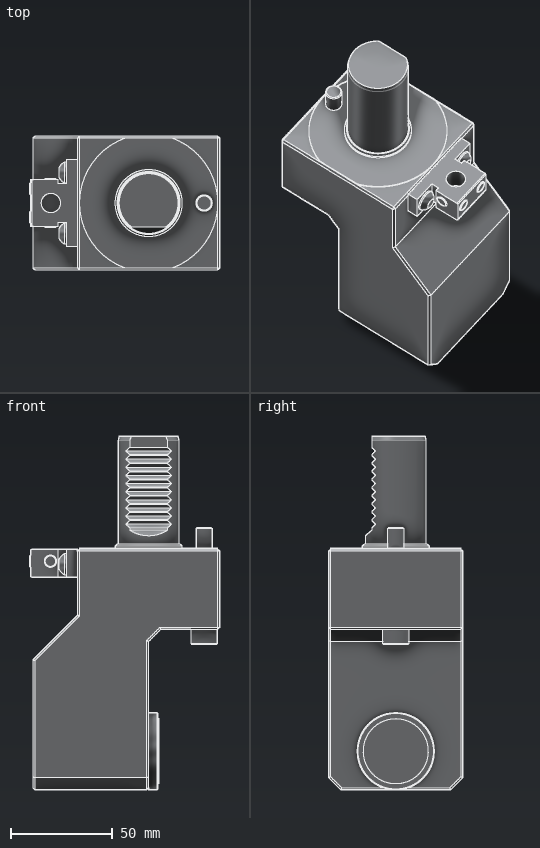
import cadquery as cq
import math


WIDTH = 66.0
HALF_WIDTH = WIDTH / 2
BODY_TOP = -0.5
BODY_BOTTOM = -119.0
HEAD_LEFT = -35.0
HEAD_RIGHT = 35.0
HEAD_BOTTOM = -40.0
LEG_LEFT = -57.0
LEG_RIGHT = 0.0
SLOPE_TOP = -33.0
SLOPE_BOTTOM = SLOPE_TOP - (HEAD_LEFT - LEG_LEFT)
INNER_BEVEL = 6.0
BOTTOM_BEVEL = 6.0
EDGE_CHAMFER = 1.0
TOLERANCE = 0.01

FLANGE_DIAMETER = 68.0
FLANGE_FLATS = WIDTH - 2 * EDGE_CHAMFER

SHANK_DIAMETER = 30.0
SHANK_LENGTH = 55.0
SHANK_TIP_LENGTH = 2.0
SHANK_TIP_INSET = 0.5
COLLAR_DIAMETER = 33.0
COLLAR_HEIGHT = 2.0
COLLAR_CHAMFER = 1.0
RACK_FLAT = 11.8
RACK_RUNOUT_TOP = 8.8
RACK_RUNOUT_BOTTOM = 6.0
TOOTH_COUNT = 10
TOOTH_PITCH = 4.0
TOOTH_DEPTH = 1.8
FIRST_GROOVE = 11.7

PIN_X = 27.3
PIN_DIAMETER = 8.0
PIN_HEIGHT = 10.0
PIN_CHAMFER = 0.5
CAP_DIAMETER = 13.0
CAP_HEIGHT = 7.5
CAP_CHAMFER = 0.4

COVER_DIAMETER = 38.0
COVER_LENGTH = 4.5
COVER_CHAMFER = 0.4
COVER_RIM_DIAMETER = 32.0
COVER_RIM_LENGTH = 0.5
COVER_Z = BODY_BOTTOM + COVER_DIAMETER / 2

BLOCK_HEIGHT = 14.0
BLOCK_LEFT = -58.0
BLOCK_WIDTH = 23.0
BLOCK_CHAMFER = 0.5
PLATE_THICKNESS = 5.5
PLATE_WIDTH = 43.0
PLATE_LEFT = HEAD_LEFT - PLATE_THICKNESS
NECK_LENGTH = 4.0
NECK_WIDTH = 19.0
PORT_X = -48.1
PORT_DIAMETER = 9.5
PORT_DEPTH = 12.0

BUTTON_DIAMETER = 10.5
BUTTON_RIM = 0.8
BUTTON_HEIGHT = 3.5
BUTTON_TIP_DIAMETER = 5.0
BUTTON_Y = 15.0
BUTTON_Z = -8.0
PLUG_DIAMETER = 6.0
PLUG_CHAMFER = 0.4
PLUG_Z = -6.5
FRONT_PLUG_Y = 7.0
FRONT_PLUG_HEIGHT = 0.5
SIDE_PLUG_X = -48.3
SIDE_PLUG_HEIGHT = 0.45


def box_between(x0, x1, y0, y1, z0, z1):
    return cq.Workplane("XY").box(x1 - x0, y1 - y0, z1 - z0, centered=False).translate((x0, y0, z0))


def cylinder(base, direction, diameter, length):
    return cq.Workplane(cq.Solid.makeCylinder(diameter / 2, length, cq.Vector(*base), cq.Vector(*direction)))


def needs_chamfer(edge):
    """Rims of the two side faces and of the outward X faces, apart from bevel and slope corners."""
    box = edge.BoundingBox()

    def lies_at(low, high, place):
        return abs(low - place) < TOLERANCE and abs(high - place) < TOLERANCE

    on_side = lies_at(box.ymin, box.ymax, HALF_WIDTH) or lies_at(box.ymin, box.ymax, -HALF_WIDTH)
    on_bevel = on_side and lies_at(box.zmin, box.zmax, BODY_BOTTOM + BOTTOM_BEVEL)
    on_end = any(lies_at(box.xmin, box.xmax, x) for x in (LEG_LEFT, LEG_RIGHT, HEAD_LEFT, HEAD_RIGHT))
    on_slope_or_inner_bevel = any(
        lies_at(box.zmin, box.zmax, z)
        for z in (SLOPE_TOP, SLOPE_BOTTOM, HEAD_BOTTOM - INNER_BEVEL)
    )
    if on_bevel or on_slope_or_inner_bevel:
        return False
    return on_side or on_end


def make_body():
    body = (
        cq.Workplane("XZ")
        .polyline([
            (HEAD_LEFT, BODY_TOP),
            (HEAD_RIGHT, BODY_TOP),
            (HEAD_RIGHT, HEAD_BOTTOM),
            (LEG_RIGHT + INNER_BEVEL, HEAD_BOTTOM),
            (LEG_RIGHT, HEAD_BOTTOM - INNER_BEVEL),
            (LEG_RIGHT, BODY_BOTTOM),
            (LEG_LEFT, BODY_BOTTOM),
            (LEG_LEFT, SLOPE_BOTTOM),
            (HEAD_LEFT, SLOPE_TOP),
        ])
        .close()
        .extrude(HALF_WIDTH, both=True)
        .edges("|X and <Z")
        .chamfer(BOTTOM_BEVEL)
    )
    rim = [edge for edge in body.edges().vals() if needs_chamfer(edge)]
    return body.newObject(rim).chamfer(EDGE_CHAMFER)


def make_flange():
    disc = cylinder((0, 0, BODY_TOP), (0, 0, 1), FLANGE_DIAMETER, -BODY_TOP)
    half_flats = FLANGE_FLATS / 2
    radius = FLANGE_DIAMETER / 2
    return disc.intersect(box_between(-radius, radius, -half_flats, half_flats, BODY_TOP, 0))


def make_rack_cut():
    """Flat with a sloped run-out, and V grooves across it, removed from the -Y side of the shank."""
    radius = SHANK_DIAMETER / 2
    cut = (
        cq.Workplane("YZ")
        .polyline([
            (-RACK_FLAT, SHANK_LENGTH),
            (-RACK_FLAT, RACK_RUNOUT_TOP),
            (-radius, RACK_RUNOUT_BOTTOM),
            (-radius, SHANK_LENGTH),
        ])
        .close()
        .extrude(radius, both=True)
    )
    for index in range(TOOTH_COUNT):
        z = FIRST_GROOVE + index * TOOTH_PITCH
        groove = (
            cq.Workplane("YZ")
            .polyline([
                (-RACK_FLAT, z - TOOTH_DEPTH),
                (-RACK_FLAT + TOOTH_DEPTH, z),
                (-RACK_FLAT, z + TOOTH_DEPTH),
            ])
            .close()
            .extrude(radius, both=True)
        )
        cut = cut.union(groove)
    return cut


def make_shank():
    shank = (
        cylinder((0, 0, BODY_TOP), (0, 0, 1), SHANK_DIAMETER, SHANK_LENGTH - BODY_TOP)
        .faces(">Z")
        .chamfer(SHANK_TIP_LENGTH, SHANK_TIP_INSET)
        .cut(make_rack_cut())
    )
    collar = cylinder((0, 0, BODY_TOP), (0, 0, 1), COLLAR_DIAMETER, COLLAR_HEIGHT - BODY_TOP)
    return shank.union(collar.faces(">Z").chamfer(COLLAR_CHAMFER))


def make_pin():
    pin = cylinder((PIN_X, 0, BODY_TOP), (0, 0, 1), PIN_DIAMETER, PIN_HEIGHT - BODY_TOP)
    return pin.faces(">Z").chamfer(PIN_CHAMFER)


def make_cap_screw():
    head = cylinder((PIN_X, 0, HEAD_BOTTOM), (0, 0, -1), CAP_DIAMETER, CAP_HEIGHT)
    return head.faces("<Z").chamfer(CAP_CHAMFER)


def make_cover():
    cover = cylinder((LEG_RIGHT, 0, COVER_Z), (1, 0, 0), COVER_DIAMETER, COVER_LENGTH)
    rim = cylinder((LEG_RIGHT + COVER_LENGTH, 0, COVER_Z), (1, 0, 0), COVER_RIM_DIAMETER, COVER_RIM_LENGTH)
    return cover.faces(">X").chamfer(COVER_CHAMFER).union(rim)


def make_button_screw(y):
    """Head turned about an axis along -X: a short rim under a dome with a flat tip."""
    radius = BUTTON_DIAMETER / 2
    tip_radius = BUTTON_TIP_DIAMETER / 2
    dome_height = BUTTON_HEIGHT - BUTTON_RIM
    drop = (radius ** 2 - tip_radius ** 2 - dome_height ** 2) / (2 * dome_height)
    sphere_radius = math.hypot(radius, drop)
    middle_height = dome_height / 2
    middle_radius = math.sqrt(sphere_radius ** 2 - (middle_height + drop) ** 2)
    head = (
        cq.Workplane("XY")
        .lineTo(0, radius)
        .lineTo(-BUTTON_RIM, radius)
        .threePointArc((-BUTTON_RIM - middle_height, middle_radius), (-BUTTON_HEIGHT, tip_radius))
        .lineTo(-BUTTON_HEIGHT, 0)
        .close()
        .revolve(360, (0, 0, 0), (1, 0, 0))
    )
    return head.translate((PLATE_LEFT, y, BUTTON_Z))


def make_coolant_block():
    bottom = BODY_TOP - BLOCK_HEIGHT
    half_block = BLOCK_WIDTH / 2
    half_plate = PLATE_WIDTH / 2
    half_neck = NECK_WIDTH / 2
    neck_left = PLATE_LEFT - NECK_LENGTH
    block = (
        box_between(BLOCK_LEFT, neck_left, -half_block, half_block, bottom, BODY_TOP)
        .faces("<X")
        .edges("|Y")
        .chamfer(BLOCK_CHAMFER)
        .union(box_between(neck_left, PLATE_LEFT, -half_neck, half_neck, bottom, BODY_TOP))
        .union(box_between(PLATE_LEFT, HEAD_LEFT, -half_plate, half_plate, bottom, BODY_TOP))
        .cut(cylinder((PORT_X, 0, BODY_TOP), (0, 0, -1), PORT_DIAMETER, PORT_DEPTH))
    )
    for side in (-1, 1):
        front_base = (BLOCK_LEFT, side * FRONT_PLUG_Y, PLUG_Z)
        front_plug = cylinder(front_base, (-1, 0, 0), PLUG_DIAMETER, FRONT_PLUG_HEIGHT)
        side_base = (SIDE_PLUG_X, side * half_block, PLUG_Z)
        side_plug = cylinder(side_base, (0, side, 0), PLUG_DIAMETER, SIDE_PLUG_HEIGHT)
        outward = ">Y" if side > 0 else "<Y"
        block = (
            block
            .union(front_plug.faces("<X").chamfer(PLUG_CHAMFER))
            .union(side_plug.faces(outward).chamfer(PLUG_CHAMFER))
            .union(make_button_screw(side * BUTTON_Y))
        )
    return block


result = make_body()
for feature in (
    make_flange(),
    make_shank(),
    make_pin(),
    make_cap_screw(),
    make_cover(),
    make_coolant_block(),
):
    result = result.union(feature)